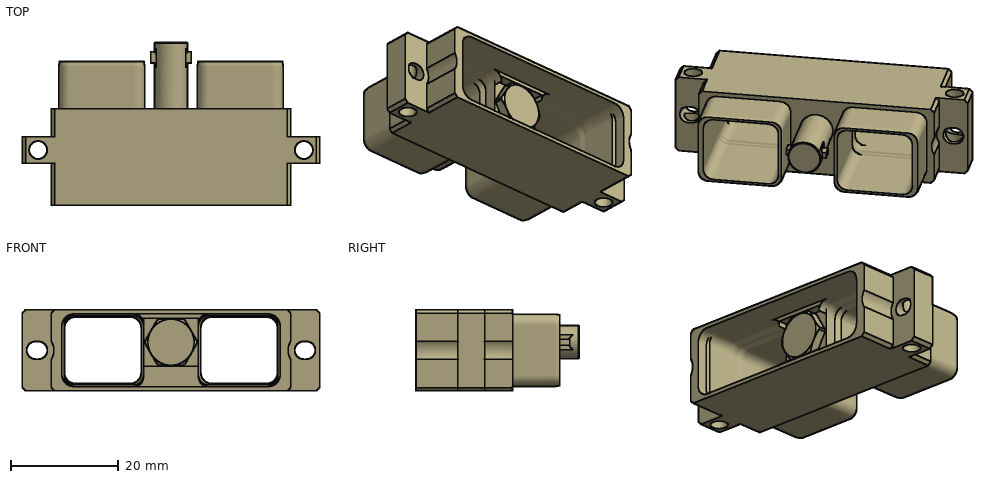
import cadquery as cq
import math

BODY_WIDTH = 44.6
BODY_DEPTH = 18.0
HEIGHT = 15.16
EDGE_CHAMFER = 0.65

OVERALL_WIDTH = 55.4
EAR_FRONT_Y = 7.8
EAR_BACK_Y = 12.8
EAR_HOLE_X = 24.75
EAR_HOLE_DIAMETER = 3.3
EAR_SLOT_X = 24.95
EAR_SLOT_LENGTH = 3.8
EAR_SLOT_HEIGHT = 3.25
SCREW_CLEARANCE_RADIUS = 3.15

SOCKET_X = 12.9
SOCKET_WIDTH = 16.04
SOCKET_HEIGHT = 13.5
SOCKET_CORNER_RADIUS = 2.04
SOCKET_BACK_Y = 26.8
SOCKET_BEVEL_LENGTH = 0.83
SOCKET_BEVEL_INSET = 0.15

CAVITY_WIDTH = 40.67
CAVITY_HEIGHT = 13.54
CAVITY_CORNER_RADIUS = 2.3
CAVITY_STEP_START_Y = 2.2
CAVITY_STEP = 0.42
CAVITY_STEP_END_Y = CAVITY_STEP_START_Y + CAVITY_STEP
WEB_FRONT_Y = 5.9

WEB_WIDTH = 10.2
POCKET_CORNER_RADIUS = CAVITY_CORNER_RADIUS - CAVITY_STEP
POCKET_TAPER_START_Y = 8.1
POCKET_TAPER_END_Y = 9.6
THROAT_HEIGHT = 12.88
THROAT_END_Y = 10.2
BORE_START_Y = 11.35
BORE_X = 12.68
BORE_WIDTH = 14.2
BORE_HEIGHT = 12.3
BORE_CORNER_RADIUS = 1.9

BOLT_Z = 1.51
BOLT_DIAMETER = 6.22
BOLT_END_Y = 30.37
BOLT_END_CHAMFER = 0.15
HEAD_SLOT_HEIGHT = 8.88
HEAD_SEAT_Y = 7.8
HEAD_FRONT_Y = WEB_FRONT_Y
HEAD_ACROSS_FLATS = 8.6
HEAD_CORNER_DIAMETER = 9.65
HEAD_BEVEL_ANGLE = 30.0

LUG_SPAN = 7.58
LUG_THICKNESS = 1.06
LUG_FRONT_Y = 26.5
LUG_BACK_Y = 28.6
RELIEF_FRONT_Y = 25.7
RELIEF_BACK_Y = 29.2
RELIEF_WAIST_MARGIN = 0.8
RELIEF_HEIGHT = 2.83
RELIEF_FLOOR_X = 2.75


def plane_at(y, x=0.0, z=0.0):
    """Workplane facing +Y; its local x axis runs along -X."""
    return cq.Workplane(cq.Plane(origin=(x, y, z), xDir=(-1, 0, 0), normal=(0, 1, 0)))


def rounded_bar(x, width, height, radius, y_start, y_end):
    bar = plane_at(y_start, x).rect(width, height).extrude(y_end - y_start)
    return bar.edges("|Y").fillet(radius)


def rounded_taper(start, end, y_start, y_end):
    """Ruled solid between two rounded rectangles given as (x, width, height, radius)."""
    outlines = []
    for x, width, height, radius in (start, end):
        outline = cq.Sketch().rect(width, height).vertices().fillet(radius)
        outlines.append(outline.moved(cq.Location(cq.Vector(-x, 0, 0))))
    outlines[1] = outlines[1].moved(cq.Location(cq.Vector(0, 0, y_end - y_start)))
    return plane_at(y_start).placeSketch(*outlines).loft(ruled=True)


def slab(width, y_start, y_end):
    return plane_at(y_start).rect(width, HEIGHT).extrude(y_end - y_start).edges("|Y").chamfer(EDGE_CHAMFER)


def make_body():
    body = slab(BODY_WIDTH, 0, BODY_DEPTH)
    for side in (-1, 1):
        clearance = plane_at(0, side * EAR_SLOT_X).circle(SCREW_CLEARANCE_RADIUS).extrude(BODY_DEPTH)
        body = body.cut(clearance)
    return body.union(slab(OVERALL_WIDTH, EAR_FRONT_Y, EAR_BACK_Y))


def make_ear_holes(side):
    ear_depth = EAR_BACK_Y - EAR_FRONT_Y
    slot = plane_at(EAR_FRONT_Y, side * EAR_SLOT_X).slot2D(EAR_SLOT_LENGTH, EAR_SLOT_HEIGHT)
    hole_y = (EAR_FRONT_Y + EAR_BACK_Y) / 2
    hole = cq.Workplane("XY").center(side * EAR_HOLE_X, hole_y).circle(EAR_HOLE_DIAMETER / 2)
    return slot.extrude(ear_depth).union(hole.extrude(HEIGHT / 2, both=True))


def make_socket(side):
    x = side * SOCKET_X
    bevel_start = SOCKET_BACK_Y - SOCKET_BEVEL_LENGTH
    bevel_end = (
        x,
        SOCKET_WIDTH - 2 * SOCKET_BEVEL_INSET,
        SOCKET_HEIGHT - 2 * SOCKET_BEVEL_INSET,
        SOCKET_CORNER_RADIUS - SOCKET_BEVEL_INSET,
    )
    profile = (x, SOCKET_WIDTH, SOCKET_HEIGHT, SOCKET_CORNER_RADIUS)
    shell = rounded_bar(*profile, EAR_BACK_Y, bevel_start)
    return shell.union(rounded_taper(profile, bevel_end, bevel_start, SOCKET_BACK_Y))


def make_cavity():
    opening = (0, CAVITY_WIDTH, CAVITY_HEIGHT, CAVITY_CORNER_RADIUS)
    inner = (0, CAVITY_WIDTH - 2 * CAVITY_STEP, CAVITY_HEIGHT, POCKET_CORNER_RADIUS)
    cavity = rounded_bar(*opening, 0, CAVITY_STEP_START_Y)
    cavity = cavity.union(rounded_taper(opening, inner, CAVITY_STEP_START_Y, CAVITY_STEP_END_Y))
    return cavity.union(rounded_bar(*inner, CAVITY_STEP_END_Y, WEB_FRONT_Y))


def make_pocket(side):
    """Stepped passage from the cavity through one socket."""
    outer_x = CAVITY_WIDTH / 2 - CAVITY_STEP
    inner_x = WEB_WIDTH / 2
    pocket_x = side * (outer_x + inner_x) / 2
    pocket_width = outer_x - inner_x
    pocket = (pocket_x, pocket_width, CAVITY_HEIGHT, POCKET_CORNER_RADIUS)
    throat = (pocket_x, pocket_width, THROAT_HEIGHT, POCKET_CORNER_RADIUS)
    bore = (side * BORE_X, BORE_WIDTH, BORE_HEIGHT, BORE_CORNER_RADIUS)
    passage = rounded_bar(*pocket, CAVITY_STEP_END_Y, POCKET_TAPER_START_Y)
    passage = passage.union(rounded_taper(pocket, throat, POCKET_TAPER_START_Y, POCKET_TAPER_END_Y))
    passage = passage.union(rounded_bar(*throat, POCKET_TAPER_END_Y, THROAT_END_Y))
    passage = passage.union(rounded_taper(throat, bore, THROAT_END_Y, BORE_START_Y))
    return passage.union(rounded_bar(*bore, BORE_START_Y, SOCKET_BACK_Y))


def make_head_slot():
    """Slot across the web that keeps the bolt head from turning."""
    slot = plane_at(WEB_FRONT_Y, z=BOLT_Z).rect(WEB_WIDTH, HEAD_SLOT_HEIGHT)
    return slot.extrude(HEAD_SEAT_Y - WEB_FRONT_Y)


def make_bolt_head():
    length = HEAD_SEAT_Y - HEAD_FRONT_Y
    across_corners = HEAD_ACROSS_FLATS / math.cos(math.pi / 6)
    hexagon = plane_at(HEAD_FRONT_Y, z=BOLT_Z).polygon(6, across_corners).extrude(length)
    face_radius = HEAD_ACROSS_FLATS / 2
    corner_radius = HEAD_CORNER_DIAMETER / 2
    bevel = (corner_radius - face_radius) * math.tan(math.radians(HEAD_BEVEL_ANGLE))
    envelope = (
        cq.Workplane("XY", origin=(0, HEAD_FRONT_Y, BOLT_Z))
        .polyline([(0, 0), (face_radius, 0), (corner_radius, bevel), (corner_radius, length), (0, length)])
        .close()
        .revolve(360, (0, 0), (0, 1))
    )
    return hexagon.intersect(envelope)


def make_lug_relief(side):
    """Shallow bow-tie recess whose waist is as thick as the lug."""
    half_height = RELIEF_HEIGHT / 2
    half_waist = LUG_THICKNESS / 2
    waist_front = RELIEF_FRONT_Y + RELIEF_WAIST_MARGIN
    waist_back = RELIEF_BACK_Y - RELIEF_WAIST_MARGIN
    outline = [
        (RELIEF_FRONT_Y, -half_height),
        (waist_front, -half_waist),
        (waist_front, half_waist),
        (RELIEF_FRONT_Y, half_height),
        (RELIEF_BACK_Y, half_height),
        (waist_back, half_waist),
        (waist_back, -half_waist),
        (RELIEF_BACK_Y, -half_height),
    ]
    relief = cq.Workplane("YZ", origin=(side * RELIEF_FLOOR_X, 0, BOLT_Z)).polyline(outline).close()
    return relief.extrude(side * (LUG_SPAN / 2 - RELIEF_FLOOR_X))


def make_bolt():
    shaft = plane_at(HEAD_SEAT_Y, z=BOLT_Z).circle(BOLT_DIAMETER / 2).extrude(BOLT_END_Y - HEAD_SEAT_Y)
    shaft = shaft.faces(">Y").chamfer(BOLT_END_CHAMFER)
    for side in (-1, 1):
        shaft = shaft.cut(make_lug_relief(side))
    lugs = plane_at(LUG_FRONT_Y, z=BOLT_Z).rect(LUG_SPAN, LUG_THICKNESS).extrude(LUG_BACK_Y - LUG_FRONT_Y)
    return shaft.union(lugs).union(make_bolt_head())


housing = make_body()
for side in (-1, 1):
    housing = housing.union(make_socket(side)).cut(make_ear_holes(side))
housing = housing.cut(make_cavity())
for side in (-1, 1):
    housing = housing.cut(make_pocket(side))
result = housing.cut(make_head_slot()).union(make_bolt())